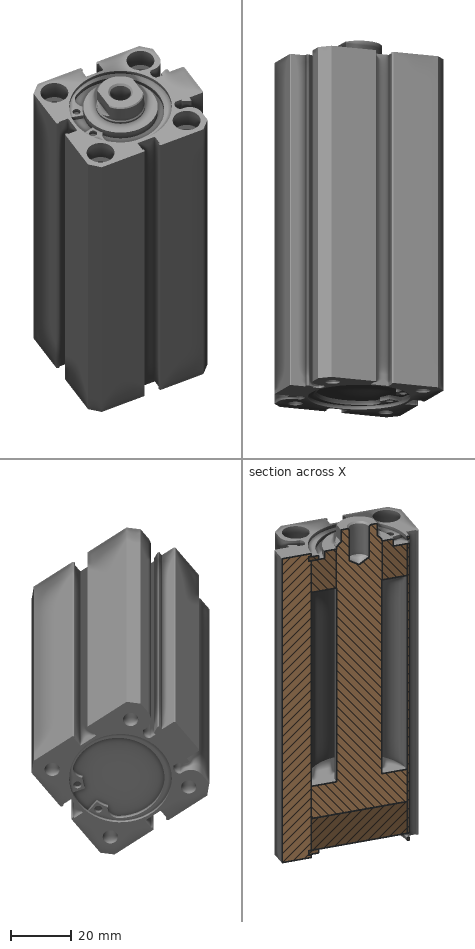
import cadquery as cq
import math


TOTAL_HEIGHT = 120.0
HOUSING_SIDE = 45.0
TOTAL_DEPTH = 50.0
ROD_PROTRUSION = 6.8

HOUSING_HEIGHT = TOTAL_HEIGHT - ROD_PROTRUSION
HALF_SIDE = HOUSING_SIDE / 2
RAIL_TOP = TOTAL_DEPTH - HALF_SIDE

CORNER_CHAMFER = 3.4
BOLT_PITCH = 32.4
BOLT_HOLE_DIAMETER = 5.0
COUNTERBORE_DIAMETER = 9.2
COUNTERBORE_DEPTH = 6.5
SLOT_FLOOR = 18.0
SLOT_HALF_WIDTH = 3.2
SLOT_MOUTH_HALF_WIDTH = 2.8
SLOT_LIP = 1.0
SLOT_MOUTH_CHAMFER = 0.4
SLOT_ANGLES = (0, 180, 270)

RAIL_NECK_HALF_WIDTH = 6.6
RAIL_HEAD_HALF_WIDTH = 7.0
RAIL_FLANGE_HALF_WIDTH = 8.5
RAIL_FLANGE_ROOT_HALF_WIDTH = 7.5
RAIL_FLANGE_TOP = 22.2
RAIL_FLANGE_EDGE = 0.7
RAIL_FLANGE_ROOT = 19.3
RAIL_CORNER_CHAMFER = 0.4
CHANNEL_HALF_WIDTH = 10.5
CHANNEL_BOTTOM = 16.1
CHANNEL_ARC_START = 17.0
LOBE_RADIUS = 4.5

BORE_RADIUS = 17.0
GROOVE_RADIUS = 17.9
RING_RECESS = 1.2
RING_THICKNESS = 1.5
COVER_RECESS = RING_RECESS + RING_THICKNESS
RING_BOTTOMS = (RING_RECESS, HOUSING_HEIGHT - COVER_RECESS)

RING_INNER_RADIUS = 15.5
RING_INNER_OFFSET = 1.1
LUG_INNER_RADIUS = 12.6
LUG_START_ANGLE = 15
LUG_END_ANGLE = 34
RELIEF_END_ANGLE = 57
RELIEF_X = 9.5
RELIEF_Y = -11.5
LUG_HOLE_DIAMETER = 2.6
LUG_HOLE_RADIUS = 14.6
LUG_HOLE_ANGLE = 23.5

COVER_THICKNESS = 12.0
BOSS_RADIUS = 12.4

PISTON_THICKNESS = 12.0
ROD_RADIUS = 8.2
ROD_SHOULDER = 0.7
ROD_SHOULDER_CHAMFER = 0.4
ROD_END_RADIUS = ROD_RADIUS - ROD_SHOULDER_CHAMFER
ROD_CHAMFER = 0.4
FLAT_HALF_WIDTH = 6.5
FLAT_BASE = 2.4
THREAD_RADIUS = 3.5
THREAD_DEPTH = 12.0
THREAD_CHAMFER = 0.6
DRILL_TIP_ANGLE = 118


def below_axis(radius, degrees):
    """Point at a radius from the origin, turned from the -Y direction toward +X."""
    angle = math.radians(degrees)
    return radius * math.sin(angle), -radius * math.cos(angle)


def mirrored(point):
    return -point[0], point[1]


def disc(radius, bottom, height):
    return cq.Workplane("XY", origin=(0, 0, bottom)).circle(radius).extrude(height)



def sensor_slot(angle):
    """Lipped slot with a beveled mouth, cut into the +X side and turned about the bore axis."""
    lip_start = HALF_SIDE - SLOT_LIP
    half = [
        (SLOT_FLOOR, SLOT_HALF_WIDTH),
        (lip_start, SLOT_HALF_WIDTH),
        (lip_start, SLOT_MOUTH_HALF_WIDTH),
        (HALF_SIDE - SLOT_MOUTH_CHAMFER, SLOT_MOUTH_HALF_WIDTH),
        (HALF_SIDE, SLOT_MOUTH_HALF_WIDTH + SLOT_MOUTH_CHAMFER),
    ]
    other_half = [(x, -y) for x, y in reversed(half)]
    slot = cq.Workplane("XY").polyline(half + other_half).close().extrude(HOUSING_HEIGHT)
    return slot.rotate((0, 0, 0), (0, 0, 1), angle)


def rail_channel():
    """Channel on the +X side of the rail, with a hollow floor and a rounded lobe beside it."""
    middle = (RAIL_NECK_HALF_WIDTH + CHANNEL_HALF_WIDTH) / 2
    lobe_center = (CHANNEL_HALF_WIDTH + LOBE_RADIUS, HALF_SIDE - LOBE_RADIUS)
    diagonal = LOBE_RADIUS * math.sqrt(0.5)
    return (
        cq.Workplane("XY")
        .moveTo(0, HALF_SIDE)
        .lineTo(0, CHANNEL_ARC_START)
        .lineTo(RAIL_NECK_HALF_WIDTH, CHANNEL_ARC_START)
        .threePointArc((middle, CHANNEL_BOTTOM), (CHANNEL_HALF_WIDTH, CHANNEL_ARC_START))
        .lineTo(CHANNEL_HALF_WIDTH, lobe_center[1])
        .threePointArc(
            (lobe_center[0] - diagonal, lobe_center[1] + diagonal),
            (lobe_center[0], HALF_SIDE),
        )
        .close()
        .extrude(HOUSING_HEIGHT)
    )


def rail():
    half = [
        (RAIL_NECK_HALF_WIDTH, CHANNEL_ARC_START),
        (RAIL_NECK_HALF_WIDTH, RAIL_FLANGE_ROOT),
        (RAIL_FLANGE_ROOT_HALF_WIDTH, RAIL_FLANGE_ROOT),
        (RAIL_FLANGE_HALF_WIDTH, RAIL_FLANGE_TOP - RAIL_FLANGE_EDGE),
        (RAIL_FLANGE_HALF_WIDTH, RAIL_FLANGE_TOP),
        (RAIL_HEAD_HALF_WIDTH, RAIL_FLANGE_TOP),
        (RAIL_HEAD_HALF_WIDTH, RAIL_TOP - RAIL_CORNER_CHAMFER),
        (RAIL_HEAD_HALF_WIDTH - RAIL_CORNER_CHAMFER, RAIL_TOP),
    ]
    other_half = [mirrored(point) for point in reversed(half)]
    return cq.Workplane("XY").polyline(half + other_half).close().extrude(HOUSING_HEIGHT)


def make_housing():
    housing = (
        cq.Workplane("XY")
        .rect(HOUSING_SIDE, HOUSING_SIDE)
        .extrude(HOUSING_HEIGHT)
        .edges("|Z")
        .chamfer(CORNER_CHAMFER)
    )
    for angle in SLOT_ANGLES:
        housing = housing.cut(sensor_slot(angle))
    channel = rail_channel()
    housing = housing.cut(channel).cut(channel.mirror("YZ")).union(rail())
    housing = (
        housing.faces(">Z")
        .workplane(origin=(0, 0, HOUSING_HEIGHT))
        .rect(BOLT_PITCH, BOLT_PITCH, forConstruction=True)
        .vertices()
        .cboreHole(BOLT_HOLE_DIAMETER, COUNTERBORE_DIAMETER, COUNTERBORE_DEPTH)
    )
    housing = housing.cut(disc(BORE_RADIUS, 0, HOUSING_HEIGHT))
    for groove_bottom in RING_BOTTOMS:
        housing = housing.cut(disc(GROOVE_RADIUS, groove_bottom, RING_THICKNESS))
    return housing



def make_retaining_ring(bottom):
    """Open ring with an off-center inner circle and two drilled lugs beside the gap."""
    gap_outer = below_axis(GROOVE_RADIUS, LUG_START_ANGLE)
    gap_inner = below_axis(LUG_INNER_RADIUS, LUG_START_ANGLE)
    lug_middle = below_axis(LUG_INNER_RADIUS, (LUG_START_ANGLE + LUG_END_ANGLE) / 2)
    lug_corner = below_axis(LUG_INNER_RADIUS, LUG_END_ANGLE)
    relief = (RELIEF_X, RELIEF_Y)
    relief_end_x, relief_end_y = below_axis(RING_INNER_RADIUS, RELIEF_END_ANGLE)
    relief_end = (relief_end_x, relief_end_y - RING_INNER_OFFSET)
    lug_hole = below_axis(LUG_HOLE_RADIUS, LUG_HOLE_ANGLE)
    return (
        cq.Workplane("XY", origin=(0, 0, bottom))
        .moveTo(*gap_outer)
        .lineTo(*gap_inner)
        .threePointArc(lug_middle, lug_corner)
        .threePointArc(relief, relief_end)
        .threePointArc((0, RING_INNER_RADIUS - RING_INNER_OFFSET), mirrored(relief_end))
        .threePointArc(mirrored(relief), mirrored(lug_corner))
        .threePointArc(mirrored(lug_middle), mirrored(gap_inner))
        .lineTo(*mirrored(gap_outer))
        .threePointArc((0, GROOVE_RADIUS), gap_outer)
        .close()
        .pushPoints([lug_hole, mirrored(lug_hole)])
        .circle(LUG_HOLE_DIAMETER / 2)
        .extrude(RING_THICKNESS)
    )



def make_rod_cover():
    """Guide for the rod: a disc under the upper ring, with a boss level with the housing."""
    top = HOUSING_HEIGHT - COVER_RECESS
    flange = disc(BORE_RADIUS, top - COVER_THICKNESS, COVER_THICKNESS)
    boss = disc(BOSS_RADIUS, top, COVER_RECESS)
    rod_hole = disc(ROD_RADIUS, 0, HOUSING_HEIGHT)
    return flange.union(boss).cut(rod_hole)


def make_head_cover():
    """Plain disc that closes the lower end of the bore, resting on the lower ring."""
    return disc(BORE_RADIUS, COVER_RECESS, COVER_THICKNESS)



def wrench_flat():
    """Cut for the -Y flat, running out at 45 degrees at its lower end."""
    base = HOUSING_HEIGHT + FLAT_BASE
    run_out = ROD_RADIUS - FLAT_HALF_WIDTH
    return (
        cq.Workplane("YZ")
        .polyline([
            (-FLAT_HALF_WIDTH, TOTAL_HEIGHT),
            (-FLAT_HALF_WIDTH, base),
            (-ROD_RADIUS, base - run_out),
            (-ROD_RADIUS, TOTAL_HEIGHT),
        ])
        .close()
        .extrude(ROD_RADIUS, both=True)
    )


def thread_hole():
    """Blind hole down from the rod end, with a chamfered mouth and a drill tip."""
    thread_bottom = TOTAL_HEIGHT - THREAD_DEPTH
    tip_depth = THREAD_RADIUS / math.tan(math.radians(DRILL_TIP_ANGLE / 2))
    return (
        cq.Workplane("XZ")
        .polyline([
            (0, thread_bottom - tip_depth),
            (THREAD_RADIUS, thread_bottom),
            (THREAD_RADIUS, TOTAL_HEIGHT - THREAD_CHAMFER),
            (THREAD_RADIUS + THREAD_CHAMFER, TOTAL_HEIGHT),
            (0, TOTAL_HEIGHT),
        ])
        .close()
        .revolve()
    )


def make_piston_rod():
    """Piston resting on the head cover, and its rod reaching out through the rod cover."""
    piston_bottom = COVER_RECESS + COVER_THICKNESS
    piston_top = piston_bottom + PISTON_THICKNESS
    shoulder = HOUSING_HEIGHT + ROD_SHOULDER
    turned_profile = [
        (0, piston_bottom),
        (BORE_RADIUS, piston_bottom),
        (BORE_RADIUS, piston_top),
        (ROD_RADIUS, piston_top),
        (ROD_RADIUS, shoulder),
        (ROD_END_RADIUS, shoulder + ROD_SHOULDER_CHAMFER),
        (ROD_END_RADIUS, TOTAL_HEIGHT - ROD_CHAMFER),
        (ROD_END_RADIUS - ROD_CHAMFER, TOTAL_HEIGHT),
        (0, TOTAL_HEIGHT),
    ]
    rod = cq.Workplane("XZ").polyline(turned_profile).close().revolve()
    flat = wrench_flat()
    return rod.cut(flat).cut(flat.mirror("XZ")).cut(thread_hole())


housing = make_housing()
rod_cover = make_rod_cover()
head_cover = make_head_cover()
piston_rod = make_piston_rod()
retaining_rings = [make_retaining_ring(bottom).val() for bottom in RING_BOTTOMS]

result = cq.Compound.makeCompound(
    [housing.val(), rod_cover.val(), head_cover.val(), piston_rod.val(), *retaining_rings]
)